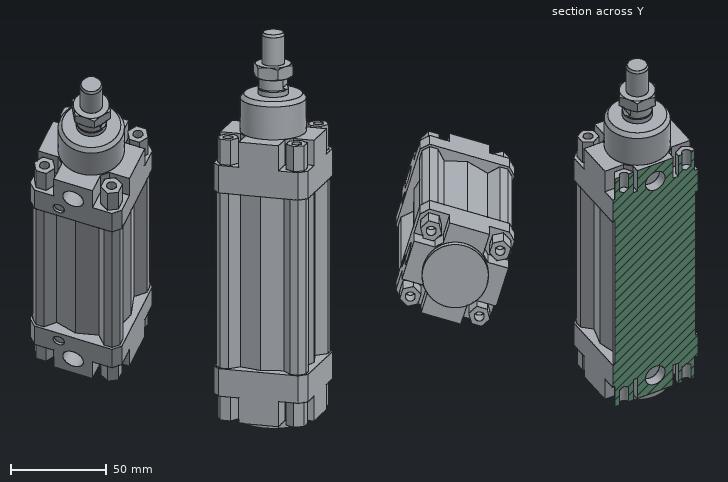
import cadquery as cq
import math


TOTAL_HEIGHT = 213.0
HEAD_WIDTH = 52.0

BOTTOM_BOSS_HEIGHT = 4.3
HEAD_HEIGHT = 29.0
TOP_HEAD_TOP = 159.0
TOP_BOSS_TOP = 179.3
ROD_COLLAR_TOP = 182.8
FLATS_BOTTOM = 184.0
RAMP_BOTTOM = 182.1
NUT_BOTTOM = 189.0
NUT_HEIGHT = 7.0

HEAD_CHAMFER = 4.0
ARM_WIDTH = 22.0
POCKET_DEPTH = 13.8
POCKET_CORNER_CHAMFER = 3.6
BOSS_DIAMETER = 35.0
BOSS_CHAMFER_RADIAL = 2.0
BOSS_CHAMFER_AXIAL = 2.3

TIE_SPACING = 38.0
TIE_NUT_FLATS = 10.0
TIE_HOLE_DIAMETER = 5.1
TIE_HOLE_DEPTH = 10.0
DRILL_TIP_ANGLE = 118.0

PORT_DIAMETER = 11.7
PORT_DEPTH = 12.8
PORT_FROM_END = 11.5
SCREW_DIAMETER = 6.4
SCREW_DEPTH = 1.5
SCREW_FROM_END = 23.0
SCREW_X = -8.0

BARREL_HALF_WIDTH = 24.7
BARREL_CHAMFER = 3.2
LIP_INNER = 17.0
GROOVE_FLOOR_HALF = 12.0
GROOVE_FLOOR_Y = 19.4
RIDGE_Y = 22.5

COLLAR_DIAMETER = 16.0
SHANK_DIAMETER = 15.5
SHOULDER_HEIGHT = 0.6
SHANK_FLATS = 13.2
THREAD_DIAMETER = 12.0
THREAD_CHAMFER_RADIAL = 0.6
THREAD_CHAMFER_AXIAL = 1.5

NUT_FLATS = 19.0
NUT_CHAMFER_ANGLE = 30.0

BOTTOM_HEAD_TOP = BOTTOM_BOSS_HEIGHT + HEAD_HEIGHT
TOP_HEAD_BOTTOM = TOP_HEAD_TOP - HEAD_HEIGHT
HEX_CORNER_RATIO = 1 / math.cos(math.pi / 6)


def cylinder(diameter, bottom, top):
    return cq.Workplane("XY").workplane(offset=bottom).circle(diameter / 2).extrude(top - bottom)


def tie_nut():
    """Hexagonal nut standing on the pocket floor, its open end on Z = 0, with a drilled hole."""
    hole_radius = TIE_HOLE_DIAMETER / 2
    tip_depth = hole_radius / math.tan(math.radians(DRILL_TIP_ANGLE / 2))
    nut = (
        cq.Workplane("XY")
        .polygon(6, TIE_NUT_FLATS * HEX_CORNER_RATIO)
        .extrude(-POCKET_DEPTH)
    )
    hole = (
        cq.Workplane("XZ")
        .polyline([
            (0, 0),
            (hole_radius, 0),
            (hole_radius, -TIE_HOLE_DEPTH),
            (0, -TIE_HOLE_DEPTH - tip_depth),
        ])
        .close()
        .revolve(360, (0, 0, 0), (0, 1, 0))
    )
    return nut.cut(hole)


def corner_pocket():
    """Open corner pocket in the +X +Y quadrant, cut downward from Z = 0."""
    outer = HEAD_WIDTH
    inner = ARM_WIDTH / 2
    return (
        cq.Workplane("XY")
        .moveTo(inner + POCKET_CORNER_CHAMFER, inner)
        .lineTo(outer, inner)
        .lineTo(outer, outer)
        .lineTo(inner, outer)
        .lineTo(inner, inner + POCKET_CORNER_CHAMFER)
        .close()
        .extrude(-POCKET_DEPTH)
    )


def front_hole(x, z, diameter, depth):
    """Cutter for a round blind hole in the -Y face."""
    return (
        cq.Workplane("XZ", origin=(x, -HEAD_WIDTH / 2, z))
        .circle(diameter / 2)
        .extrude(-depth)
    )


def head():
    """End head with its outer end face on Z = 0 and its body below."""
    body = (
        cq.Workplane("XY")
        .rect(HEAD_WIDTH, HEAD_WIDTH)
        .extrude(-HEAD_HEIGHT)
        .edges("|Z")
        .chamfer(HEAD_CHAMFER)
    )
    for quarter in range(4):
        turn = 90 * quarter
        nut = tie_nut().translate((TIE_SPACING / 2, TIE_SPACING / 2, 0))
        body = body.cut(corner_pocket().rotate((0, 0, 0), (0, 0, 1), turn))
        body = body.union(nut.rotate((0, 0, 0), (0, 0, 1), turn))
    body = body.cut(front_hole(0, -PORT_FROM_END, PORT_DIAMETER, PORT_DEPTH))
    return body.cut(front_hole(SCREW_X, -SCREW_FROM_END, SCREW_DIAMETER, SCREW_DEPTH))


def barrel():
    """Solid square barrel with a shallow ridged groove along each side."""
    corner = BARREL_HALF_WIDTH - BARREL_CHAMFER
    side = [
        (-corner, -BARREL_HALF_WIDTH),
        (-LIP_INNER, -BARREL_HALF_WIDTH),
        (-GROOVE_FLOOR_HALF, -GROOVE_FLOOR_Y),
        (0, -RIDGE_Y),
        (GROOVE_FLOOR_HALF, -GROOVE_FLOOR_Y),
        (LIP_INNER, -BARREL_HALF_WIDTH),
        (corner, -BARREL_HALF_WIDTH),
    ]
    outline = []
    for _ in range(4):
        outline += side
        side = [(-y, x) for x, y in side]
    return (
        cq.Workplane("XY")
        .workplane(offset=BOTTOM_HEAD_TOP)
        .polyline(outline)
        .close()
        .extrude(TOP_HEAD_BOTTOM - BOTTOM_HEAD_TOP)
    )


def top_boss():
    radius = BOSS_DIAMETER / 2
    return (
        cq.Workplane("XZ")
        .polyline([
            (0, TOP_HEAD_TOP),
            (radius, TOP_HEAD_TOP),
            (radius, TOP_BOSS_TOP - BOSS_CHAMFER_AXIAL),
            (radius - BOSS_CHAMFER_RADIAL, TOP_BOSS_TOP),
            (0, TOP_BOSS_TOP),
        ])
        .close()
        .revolve(360, (0, 0, 0), (0, 1, 0))
    )


def make_housing():
    top_head = head().translate((0, 0, TOP_HEAD_TOP))
    bottom_head = head().mirror("XY").translate((0, 0, BOTTOM_BOSS_HEIGHT))
    bottom_boss = cylinder(BOSS_DIAMETER, 0, BOTTOM_BOSS_HEIGHT)
    return barrel().union(top_head).union(bottom_head).union(bottom_boss).union(top_boss())


def flats_envelope():
    """Space left between the two wrench flats, each flat running out on a ramp at its lower end."""
    collar_radius = COLLAR_DIAMETER / 2
    flat_x = SHANK_FLATS / 2
    return (
        cq.Workplane("XZ")
        .polyline([
            (-collar_radius, TOP_BOSS_TOP),
            (collar_radius, TOP_BOSS_TOP),
            (collar_radius, RAMP_BOTTOM),
            (flat_x, FLATS_BOTTOM),
            (flat_x, NUT_BOTTOM),
            (-flat_x, NUT_BOTTOM),
            (-flat_x, FLATS_BOTTOM),
            (-collar_radius, RAMP_BOTTOM),
        ])
        .close()
        .extrude(collar_radius, both=True)
    )


def make_rod():
    """Rod standing on the top boss: collar with a small conical shoulder, shank with wrench flats, thread."""
    thread_radius = THREAD_DIAMETER / 2
    shoulder_width = (COLLAR_DIAMETER - SHANK_DIAMETER) / 2
    collar = (
        cylinder(COLLAR_DIAMETER, TOP_BOSS_TOP, ROD_COLLAR_TOP)
        .faces(">Z")
        .chamfer(SHOULDER_HEIGHT, shoulder_width)
    )
    shank = cylinder(SHANK_DIAMETER, ROD_COLLAR_TOP, NUT_BOTTOM)
    lower_rod = collar.union(shank).intersect(flats_envelope())
    thread = (
        cq.Workplane("XZ")
        .polyline([
            (0, NUT_BOTTOM),
            (thread_radius, NUT_BOTTOM),
            (thread_radius, TOTAL_HEIGHT - THREAD_CHAMFER_AXIAL),
            (thread_radius - THREAD_CHAMFER_RADIAL, TOTAL_HEIGHT),
            (0, TOTAL_HEIGHT),
        ])
        .close()
        .revolve(360, (0, 0, 0), (0, 1, 0))
    )
    return lower_rod.union(thread)


def make_nut():
    """Hexagonal lock nut around the thread, with its corners turned off conically at both ends."""
    flat_radius = NUT_FLATS / 2
    corner_radius = flat_radius * HEX_CORNER_RATIO
    corner_drop = (corner_radius - flat_radius) * math.tan(math.radians(NUT_CHAMFER_ANGLE))
    nut_top = NUT_BOTTOM + NUT_HEIGHT
    hexagon = (
        cq.Workplane("XY")
        .workplane(offset=NUT_BOTTOM)
        .polygon(6, 2 * corner_radius)
        .extrude(NUT_HEIGHT)
    )
    turned_envelope = (
        cq.Workplane("XZ")
        .polyline([
            (0, NUT_BOTTOM),
            (flat_radius, NUT_BOTTOM),
            (corner_radius, NUT_BOTTOM + corner_drop),
            (corner_radius, nut_top - corner_drop),
            (flat_radius, nut_top),
            (0, nut_top),
        ])
        .close()
        .revolve(360, (0, 0, 0), (0, 1, 0))
    )
    return hexagon.intersect(turned_envelope).cut(cylinder(THREAD_DIAMETER, NUT_BOTTOM, nut_top))


housing = make_housing()
rod = make_rod()
nut = make_nut()

result = cq.Compound.makeCompound([housing.val(), rod.val(), nut.val()])